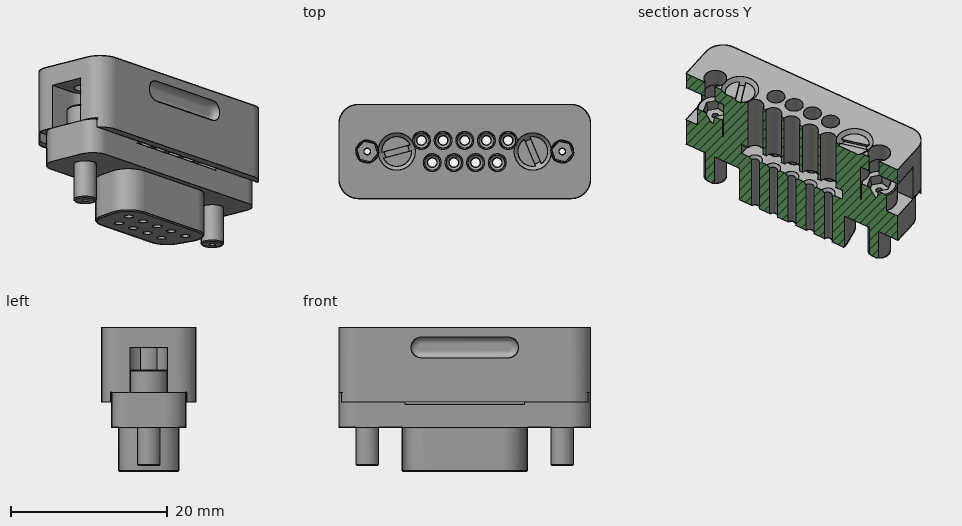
import cadquery as cq
import math


length = 32.13
cover_width = 12.05
cover_top = 12.75
cover_bottom = 3.2
cover_corner_radius = 2.55

flange_width = 9.45
flange_top = 4.47
flange_front_radius = 2.55
flange_back_radius = 2.15
channel_width = 9.65
relief_length = 15.23
relief_floor = 2.95

plug_height = 5.65
plug_depth = 7.68
plug_width = 16.0
plug_corner_radius = 2.7
plug_side_angle = math.radians(10)
edge_chamfer = 0.15

contact_pitch = 2.75
contact_row_offset = 1.4
wire_hole_diameter = 2.28
contact_diameter = 1.2
contact_mouth_diameter = 1.93

jackscrew_offset = 12.45
jackscrew_diameter = 2.9
jackscrew_length = 4.88
head_diameter = 4.63
head_top = 7.33
hex_mouth_diameter = 3.15
hex_floor_diameter = 2.73
hex_socket_depth = 1.3
hex_socket_angle = 48
bore_diameter = 0.8
window_width = 4.75
window_top = 10.15

cover_screw_offset = 8.68
countersink_diameter = 4.75
countersink_drop = 0.48
screw_shank_diameter = 3.85
driver_slot_width = 0.77
driver_slot_depth = 0.32
driver_slot_angles = {-1: 15, 1: 113}

grip_length = 13.72
grip_height = 2.65
grip_floor_height = 0.9
grip_lip = 0.015
grip_center_height = cover_top - 2.57


def cylinder(x, y, bottom, top, diameter):
    return cq.Workplane("XY", origin=(x, y, bottom)).circle(diameter / 2).extrude(top - bottom)


def cone(x, y, bottom, top, bottom_diameter, top_diameter):
    return cq.Workplane(obj=cq.Solid.makeCone(
        bottom_diameter / 2, top_diameter / 2, top - bottom, cq.Vector(x, y, bottom)))


def block(size_x, size_y, bottom, top):
    return cq.Workplane("XY", origin=(0, 0, bottom)).rect(size_x, size_y).extrude(top - bottom)


def make_cover():
    cover = block(length, cover_width, cover_bottom, cover_top)
    cover = cover.edges("|Z").fillet(cover_corner_radius)
    return cover.cut(block(length, channel_width, cover_bottom, flange_top))


def make_window(side):
    """Pocket from one end of the cover, rounded around the jackscrew head."""
    depth = length / 2 - jackscrew_offset
    pocket = cq.Workplane("XY", origin=(side * (jackscrew_offset + depth / 2), 0, flange_top))
    pocket = pocket.rect(depth, window_width).extrude(window_top - flange_top)
    return pocket.union(cylinder(side * jackscrew_offset, 0, flange_top, window_top, window_width))


def make_grip(side):
    """Recess with a quarter-round wall, below a thin straight lip, around a narrow flat floor."""
    depth = (grip_height - grip_floor_height) / 2
    face = cq.Workplane("XZ", origin=(0, side * cover_width / 2, grip_center_height))
    recess = face.slot2D(grip_length, grip_height).extrude(side * depth)
    inner_face = ">Y" if side < 0 else "<Y"
    return recess.faces(inner_face).edges().fillet(depth - grip_lip)


def make_flange():
    """Plate with larger corners at the front and a shallow relief across the middle of its top."""
    flange = block(length, flange_width, 0, flange_top)
    flange = flange.edges("|Z and <Y").fillet(flange_front_radius)
    flange = flange.edges("|Z and >Y").fillet(flange_back_radius)
    return flange.cut(block(relief_length, flange_width, relief_floor, flange_top))


def make_plug():
    """D-shaped block, wider at the back, with equal corner radii."""
    half_depth = plug_depth / 2
    side_slope = math.tan(plug_side_angle)
    back_center_x = plug_width / 2 - plug_corner_radius
    back_x = back_center_x + plug_corner_radius / math.cos(plug_side_angle) + plug_corner_radius * side_slope
    front_x = back_x - plug_depth * side_slope
    outline = [(-back_x, half_depth), (back_x, half_depth), (front_x, -half_depth), (-front_x, -half_depth)]
    plug = cq.Workplane("XY").polyline(outline).close().extrude(-plug_height)
    plug = plug.edges("|Z").fillet(plug_corner_radius)
    return plug.faces("<Z").chamfer(edge_chamfer)


def make_jackscrew(side):
    """Headed screw with a hexagon socket that narrows toward its floor."""
    x = side * jackscrew_offset
    shank = cylinder(x, 0, -jackscrew_length, flange_top, jackscrew_diameter)
    shank = shank.faces("<Z").chamfer(edge_chamfer)
    head = cylinder(x, 0, flange_top, head_top, head_diameter)
    head = head.faces(">Z").chamfer(edge_chamfer)
    flat_inset = (hex_mouth_diameter - hex_floor_diameter) / 2 * math.cos(math.pi / 6)
    socket_taper = math.degrees(math.atan(flat_inset / hex_socket_depth))
    socket = cq.Workplane("XY", origin=(x, 0, head_top))
    socket = socket.transformed(rotate=(0, 0, hex_socket_angle))
    socket = socket.polygon(6, hex_mouth_diameter)
    socket = socket.extrude(-hex_socket_depth, taper=socket_taper)
    return shank.union(head).cut(socket)


def make_screw_recess(side):
    """Conical recess above a cover screw, with the driver slot running across to the cone wall."""
    x = side * cover_screw_offset
    screw_top = cover_top - countersink_drop
    slot_bottom = screw_top - driver_slot_depth
    slot_bottom_diameter = countersink_diameter - 2 * (countersink_drop + driver_slot_depth)
    countersink = cone(x, 0, slot_bottom, cover_top, slot_bottom_diameter, countersink_diameter)
    slot = cq.Workplane("XY", origin=(x, 0, slot_bottom))
    slot = slot.transformed(rotate=(0, 0, driver_slot_angles[side]))
    slot = slot.rect(2 * countersink_diameter, driver_slot_width).extrude(driver_slot_depth)
    screw_head = cylinder(x, 0, slot_bottom, screw_top, countersink_diameter).cut(slot)
    return countersink.cut(screw_head)


def contact_positions():
    back_row = [((i - 2) * contact_pitch, contact_row_offset) for i in range(5)]
    front_row = [((i - 1.5) * contact_pitch, -contact_row_offset) for i in range(4)]
    return back_row + front_row


def make_contact_hole(x, y):
    """Wire hole through the cover, leading into a countersunk contact bore through the plug."""
    mouth_depth = (contact_mouth_diameter - contact_diameter) / 2
    hole = cylinder(x, y, flange_top, cover_top, wire_hole_diameter)
    bore = cylinder(x, y, -plug_height, relief_floor, contact_diameter)
    mouth = cone(x, y, relief_floor - mouth_depth, relief_floor, contact_diameter, contact_mouth_diameter)
    return hole.union(bore.union(mouth))


cover = make_cover()
for side in (-1, 1):
    cover = cover.cut(make_window(side))
    cover = cover.cut(cylinder(side * jackscrew_offset, 0, flange_top, cover_top, jackscrew_diameter))
    cover = cover.cut(make_grip(side))

result = cover.union(make_flange()).union(make_plug())
for side in (-1, 1):
    screw_x = side * cover_screw_offset
    shank_top = cover_top - countersink_drop
    result = result.union(cylinder(screw_x, 0, flange_top, shank_top, screw_shank_diameter))
    result = result.union(make_jackscrew(side))
    result = result.cut(make_screw_recess(side))
    result = result.cut(cylinder(side * jackscrew_offset, 0, -jackscrew_length, head_top, bore_diameter))

for x, y in contact_positions():
    result = result.cut(make_contact_hole(x, y))